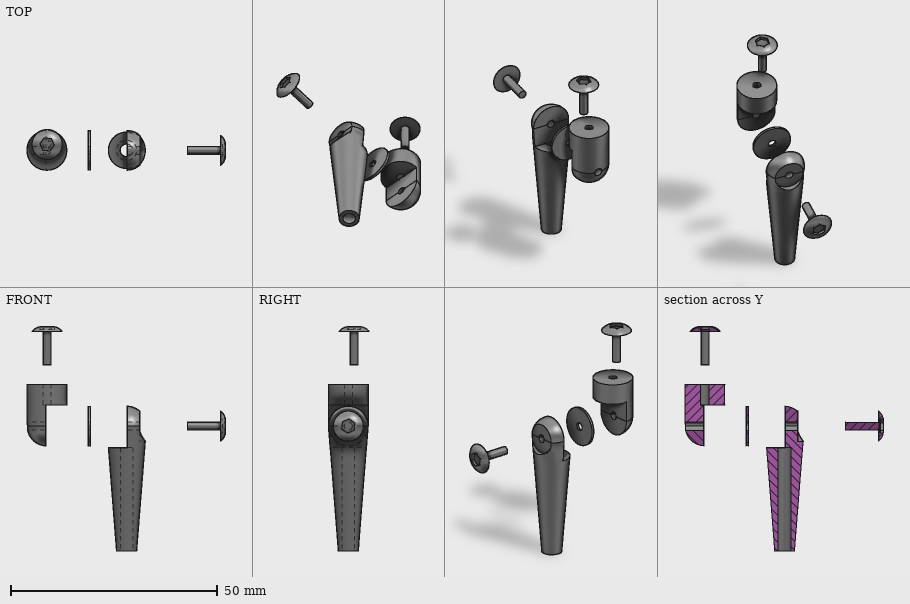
import cadquery as cq


joint_radius = 4.85
pivot_height = 30.3
pin_hole_radius = 1.0

hinge_top = 40.4
hinge_shelf_height = 35.35
hinge_face_x = -0.2

washer_x = 10.0
washer_thickness = 0.6
washer_radius = 4.8

handle_axis_x = 19.3
handle_end_radius = 2.45
handle_bore_radius = 1.5
handle_face_x = handle_axis_x + 0.1
deck_height = pivot_height - 5.2
screw_seat_x = handle_axis_x + 3.2
screw_seat_radius = 3.7

head_radius = 3.65
head_height = 1.2
head_flat_radius = 1.45
head_bulge_radius = 2.85
head_bulge_height = 0.75
shank_radius = pin_hole_radius
shank_length = 8.05
socket_diameter = 3.5
socket_depth = 0.75
socket_turn = -6.0
top_screw_head_z = 54.4 - head_height
top_screw_y = 1.4
top_screw_x = 0.05
side_screw_head_x = 42.1


def box_between(low, high):
    """Box spanned by two opposite corners."""
    size = [b - a for a, b in zip(low, high)]
    return cq.Workplane("XY").box(*size, centered=False).translate(low)


def x_cylinder(radius, x_start, x_end):
    """Cylinder along X, centred on the pivot axis."""
    plane = cq.Workplane("YZ", origin=(x_start, 0, pivot_height))
    return plane.circle(radius).extrude(x_end - x_start)


def z_cylinder(radius, axis_x, z_start, z_end):
    """Cylinder along Z, centred at Y = 0."""
    plane = cq.Workplane("XY", origin=(axis_x, 0, z_start))
    return plane.circle(radius).extrude(z_end - z_start)


def joint_sphere(axis_x):
    return cq.Workplane("XY").sphere(joint_radius).translate((axis_x, 0, pivot_height))


def make_hinge_barrel():
    barrel = z_cylinder(joint_radius, 0, pivot_height, hinge_top)
    clearance = box_between(
        (hinge_face_x, -joint_radius, pivot_height),
        (joint_radius, joint_radius, hinge_shelf_height),
    )
    screw_hole = z_cylinder(pin_hole_radius, 0, hinge_shelf_height, hinge_top)
    pivot_hole = x_cylinder(pin_hole_radius, -joint_radius, joint_radius)
    return barrel.cut(clearance).cut(screw_hole).cut(pivot_hole)


def make_hinge_dome():
    lower_half = box_between(
        (-joint_radius, -joint_radius, pivot_height - joint_radius),
        (hinge_face_x, joint_radius, pivot_height),
    )
    pivot_hole = x_cylinder(pin_hole_radius, -joint_radius, joint_radius)
    return joint_sphere(0).intersect(lower_half).cut(pivot_hole)


def cut_handle_pivot(body):
    """Cut the pivot hole and the flat seat for the screw head."""
    outer_x = handle_axis_x + joint_radius
    pivot_hole = x_cylinder(pin_hole_radius, handle_face_x, outer_x)
    screw_seat = x_cylinder(screw_seat_radius, screw_seat_x, outer_x)
    return body.cut(pivot_hole).cut(screw_seat)


def make_handle_grip():
    cone = cq.Workplane(
        cq.Solid.makeCone(
            handle_end_radius, joint_radius, pivot_height, pnt=cq.Vector(handle_axis_x, 0, 0)
        )
    )
    clearance = box_between(
        (handle_axis_x - joint_radius, -joint_radius, deck_height),
        (handle_face_x, joint_radius, pivot_height),
    )
    bore = z_cylinder(handle_bore_radius, handle_axis_x, 0, deck_height)
    return cut_handle_pivot(cone.cut(clearance).cut(bore))


def make_handle_dome():
    upper_half = box_between(
        (handle_face_x, -joint_radius, pivot_height),
        (handle_axis_x + joint_radius, joint_radius, pivot_height + joint_radius),
    )
    return cut_handle_pivot(joint_sphere(handle_axis_x).intersect(upper_half))


def make_washer():
    washer_end_x = washer_x + washer_thickness
    hole = x_cylinder(pin_hole_radius, washer_x, washer_end_x)
    return x_cylinder(washer_radius, washer_x, washer_end_x).cut(hole)


def make_screw_head():
    """Domed head with a hexagonal socket, resting on Z = 0."""
    head = (
        cq.Workplane("XZ")
        .lineTo(head_radius, 0)
        .threePointArc((head_bulge_radius, head_bulge_height), (head_flat_radius, head_height))
        .lineTo(0, head_height)
        .close()
        .revolve(360, (0, 0), (0, 1))
    )
    socket = (
        cq.Workplane("XY", origin=(0, 0, head_height - socket_depth))
        .polygon(6, socket_diameter)
        .extrude(socket_depth)
        .rotate((0, 0, 0), (0, 0, 1), socket_turn)
    )
    return head.cut(socket)


def make_screw_shank():
    """Plain shank hanging below Z = 0."""
    return z_cylinder(shank_radius, 0, -shank_length, 0)


hinge_barrel = make_hinge_barrel()
hinge_dome = make_hinge_dome()
washer = make_washer()
handle_grip = make_handle_grip()
handle_dome = make_handle_dome()

screw_places = [
    cq.Location(cq.Vector(top_screw_x, top_screw_y, top_screw_head_z)),
    cq.Location(cq.Vector(side_screw_head_x, 0, pivot_height), cq.Vector(0, 1, 0), 90),
]
screw_heads = []
screw_shanks = []
for place in screw_places:
    screw_heads.append(make_screw_head().solids().val().moved(place))
    screw_shanks.append(make_screw_shank().solids().val().moved(place))

result = cq.Compound.makeCompound(
    [
        hinge_barrel.solids().val(),
        hinge_dome.solids().val(),
        washer.solids().val(),
        handle_grip.solids().val(),
        handle_dome.solids().val(),
        *screw_heads,
        *screw_shanks,
    ]
)